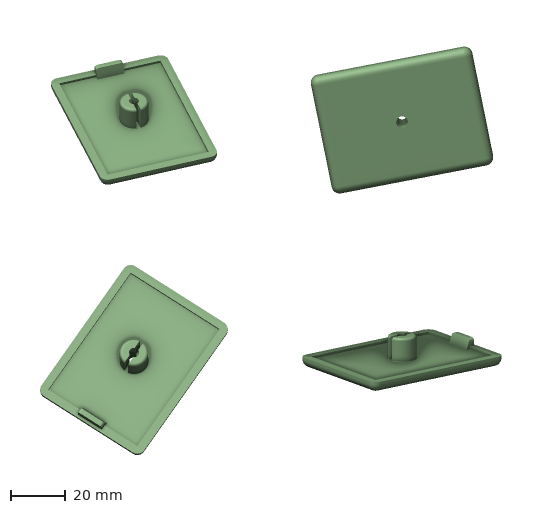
import cadquery as cq

LENGTH = 60.0
WIDTH = 45.0
PLATE_HEIGHT = 4.0
EDGE_RADIUS = 3.0
RIM_WIDTH = 3.0
POCKET_DEPTH = 1.0
FLOOR_Z = PLATE_HEIGHT - POCKET_DEPTH

TOTAL_HEIGHT = 12.0
POST_RADIUS = 5.2
POST_TOP_RADIUS = 1.0
POST_BASE_RADIUS = 0.3
SLOT_WIDTH = 1.5
BORE_TOP_RADIUS = 1.8
BORE_DRAFT_ANGLE = 1.5

TAB_INSET = 1.0
TAB_OUTER_X = -LENGTH / 2 + TAB_INSET
TAB_TOP_Z = 7.0
TAB_TOP_THICKNESS = 1.9
TAB_BASE_THICKNESS = 3.4
TAB_WIDTH = 10.5
TAB_CORNER_RADIUS = 1.0


def make_plate():
    """Rounded tray with a shallow rectangular pocket in its top."""
    plate = cq.Workplane("XY").box(LENGTH, WIDTH, PLATE_HEIGHT, centered=(True, True, False))
    plate = plate.edges("|Z").fillet(EDGE_RADIUS)
    plate = plate.faces("<Z").edges().fillet(EDGE_RADIUS)
    pocket = (
        cq.Workplane("XY", origin=(0, 0, FLOOR_Z))
        .rect(LENGTH - 2 * RIM_WIDTH, WIDTH - 2 * RIM_WIDTH)
        .extrude(POCKET_DEPTH)
    )
    return plate.cut(pocket)


def make_post():
    """Round post with a rounded top edge, standing on the pocket floor and split along X by a slot."""
    post_height = TOTAL_HEIGHT - FLOOR_Z
    post = cq.Workplane("XY", origin=(0, 0, FLOOR_Z)).circle(POST_RADIUS).extrude(post_height)
    post = post.faces(">Z").edges().fillet(POST_TOP_RADIUS)
    slot = (
        cq.Workplane("XY", origin=(0, 0, FLOOR_Z))
        .rect(2 * POST_RADIUS, SLOT_WIDTH)
        .extrude(post_height)
    )
    return post.cut(slot)


def fillet_post_base(body):
    """Fillet the whole outline of both post halves where they meet the pocket floor."""
    reach = POST_RADIUS + POST_BASE_RADIUS
    post_foot = cq.selectors.BoxSelector(
        (-reach, -reach, FLOOR_Z - POST_BASE_RADIUS),
        (reach, reach, FLOOR_Z + POST_BASE_RADIUS),
    )
    return body.edges(post_foot).fillet(POST_BASE_RADIUS)


def make_bore():
    """Tapered hole through the post and the plate, narrowest at the top of the post."""
    return (
        cq.Workplane("XY", origin=(0, 0, TOTAL_HEIGHT))
        .circle(BORE_TOP_RADIUS)
        .extrude(-TOTAL_HEIGHT, taper=-BORE_DRAFT_ANGLE)
    )


def make_tab():
    """Latch tab with a sloped inner face and rounded upper ends."""
    tab = (
        cq.Workplane("XZ", origin=(0, TAB_WIDTH / 2, 0))
        .moveTo(TAB_OUTER_X, FLOOR_Z)
        .lineTo(TAB_OUTER_X + TAB_BASE_THICKNESS, FLOOR_Z)
        .lineTo(TAB_OUTER_X + TAB_TOP_THICKNESS, TAB_TOP_Z)
        .lineTo(TAB_OUTER_X, TAB_TOP_Z)
        .close()
        .extrude(TAB_WIDTH)
    )
    return tab.faces(">Z").edges("|X").fillet(TAB_CORNER_RADIUS)


body = fillet_post_base(make_plate().union(make_post()))
result = body.union(make_tab()).cut(make_bore())